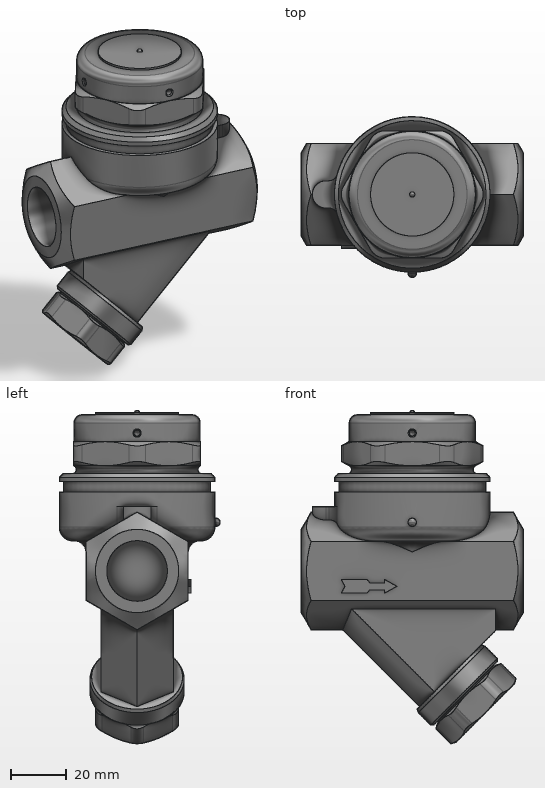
import cadquery as cq
import math


COS_30 = math.cos(math.radians(30))
TAN_30 = math.tan(math.radians(30))

pipe_length = 80.0
pipe_flats = 36.7
pipe_corner_radius = pipe_flats / 2 / COS_30
port_face_radius = 15.0
port_radius = 10.9
port_depth = 13.2

bonnet_radius = 28.02
bonnet_bottom = 10.8
bonnet_fillet = 5.0
neck_fillet = 4.0
neck_radius = pipe_flats / 2
bowl_top = 28.4
groove_radius = 26.5
flange_bottom = 32.2
flange_top = 35.2
flange_chamfer = 1.4
relief_end_radius = 22.8
relief_radius = 22.0
hex_bottom = 37.9
hex_top = 46.5
hex_flats = 45.8
hex_corner_fillet = 6.0
cap_radius = 22.74
cap_top = 56.3
cap_fillet = 3.0
nameplate_radius = 15.0
nameplate_top = 57.0
rivet_radius = 1.0
rivet_top = 57.8

dimple_height = 49.7
dimple_radius = 1.5
dimple_floor_radius = 1.1
dimple_countersink = 0.5
dimple_count = 4
stud_radius = 1.5
stud_height = 17.5
stud_tip = 29.94

ear_radius = 4.9
ear_tip = 36.0
ear_top = 23.2
ear_fillet = 3.0

branch_angle = 45
branch_flats = 26.2
branch_axis_drop = 24.8
branch_end = 18.8
branch_right_wall = 30.0
branch_top = -12.0
branch_corner_radius = branch_flats / 2 / COS_30
plug_flange_radius = 16.98
plug_flange_thickness = 8.3
plug_flange_chamfer = 0.7
plug_shoulder_bevel_width = 0.6
plug_shoulder_bevel_length = 1.2
plug_neck_radius = 14.4
plug_hex_start = 8.9
plug_length = 18.4
plug_hex_flats = 30.0
plug_hex_corner_fillet = 4.5

arrow_height = 1.1
arrow_middle = -5.5
arrow_tail = -25.5
arrow_notch = -24.2
arrow_shoulder = -16.3
arrow_shaft_start = -15.2
arrow_head = -10.0
arrow_tip = -5.5
arrow_half_width = 2.46
arrow_shaft_half_width = 1.26


def chamfered_hexagon(bottom, top, flats, corner_fillet):
    """Hexagonal nut along Z, flats on +-Y, with rounded corners and a 30 degree chamfer at both ends."""
    end_radius = flats / 2
    corner_radius = end_radius / COS_30
    drop = (corner_radius - end_radius) * TAN_30
    prism = (
        cq.Workplane("XY")
        .workplane(offset=bottom)
        .polygon(6, 2 * corner_radius)
        .extrude(top - bottom)
        .edges("|Z")
        .fillet(corner_fillet)
    )
    turned = (
        cq.Workplane("XZ")
        .moveTo(0, bottom)
        .lineTo(end_radius, bottom)
        .lineTo(corner_radius, bottom + drop)
        .lineTo(corner_radius, top - drop)
        .lineTo(end_radius, top)
        .lineTo(0, top)
        .close()
        .revolve(360, (0, 0, 0), (0, 1, 0))
    )
    return prism.intersect(turned)


def make_pipe():
    """Hexagonal pipe section with corners on +-Z and coned ends."""
    half = pipe_length / 2
    cone_length = (pipe_corner_radius - port_face_radius) * TAN_30
    prism = (
        cq.Workplane("YZ")
        .polygon(6, 2 * pipe_corner_radius)
        .extrude(half, both=True)
        .rotate((0, 0, 0), (1, 0, 0), 90)
    )
    turned = (
        cq.Workplane("XY")
        .moveTo(-half, 0)
        .lineTo(-half, port_face_radius)
        .lineTo(-half + cone_length, pipe_corner_radius)
        .lineTo(half - cone_length, pipe_corner_radius)
        .lineTo(half, port_face_radius)
        .lineTo(half, 0)
        .close()
        .revolve(360, (0, 0, 0), (1, 0, 0))
    )
    return prism.intersect(turned)


def make_bonnet():
    """Turned bowl, groove, flange, relief, cap and nameplate, with the wrench hexagon around them."""
    diagonal = math.sqrt(0.5)
    neck_bottom = bonnet_bottom - neck_fillet
    cap_shoulder = cap_top - cap_fillet
    profile = (
        cq.Workplane("XZ")
        .lineTo(neck_radius, 0)
        .lineTo(neck_radius, neck_bottom)
        .threePointArc(
            (neck_radius + neck_fillet * (1 - diagonal), neck_bottom + neck_fillet * diagonal),
            (neck_radius + neck_fillet, bonnet_bottom),
        )
        .lineTo(bonnet_radius - bonnet_fillet, bonnet_bottom)
        .threePointArc(
            (
                bonnet_radius - bonnet_fillet * (1 - diagonal),
                bonnet_bottom + bonnet_fillet * (1 - diagonal),
            ),
            (bonnet_radius, bonnet_bottom + bonnet_fillet),
        )
        .lineTo(bonnet_radius, bowl_top)
        .lineTo(groove_radius, bowl_top)
        .lineTo(groove_radius, flange_bottom)
        .lineTo(bonnet_radius, flange_bottom)
        .lineTo(bonnet_radius, flange_top - flange_chamfer)
        .lineTo(bonnet_radius - flange_chamfer, flange_top)
        .lineTo(relief_end_radius, flange_top)
        .threePointArc(
            (relief_radius, (flange_top + hex_bottom) / 2),
            (relief_end_radius, hex_bottom),
        )
        .lineTo(cap_radius, hex_bottom)
        .lineTo(cap_radius, cap_shoulder)
        .threePointArc(
            (cap_radius - cap_fillet * (1 - diagonal), cap_shoulder + cap_fillet * diagonal),
            (cap_radius - cap_fillet, cap_top),
        )
        .lineTo(nameplate_radius, cap_top)
        .lineTo(nameplate_radius, nameplate_top)
        .lineTo(0, nameplate_top)
        .close()
    )
    turned = profile.revolve(360, (0, 0, 0), (0, 1, 0))
    hexagon = chamfered_hexagon(hex_bottom, hex_top, hex_flats, hex_corner_fillet)
    rivet = cq.Workplane("XY").sphere(rivet_radius).translate((0, 0, rivet_top - rivet_radius))
    return turned.union(hexagon).union(rivet)


def make_dimple(angle):
    """Cutter for one countersunk, round-bottomed dimple in the cap wall."""
    floor_center = cap_radius - dimple_countersink
    cutter = (
        cq.Workplane("XY")
        .moveTo(floor_center - dimple_floor_radius, 0)
        .threePointArc(
            (
                floor_center - dimple_floor_radius * math.sqrt(0.5),
                dimple_floor_radius * math.sqrt(0.5),
            ),
            (floor_center, dimple_floor_radius),
        )
        .lineTo(cap_radius, dimple_radius)
        .lineTo(cap_radius + dimple_radius, dimple_radius)
        .lineTo(cap_radius + dimple_radius, 0)
        .close()
        .revolve(360, (0, 0, 0), (1, 0, 0))
    )
    return cutter.translate((0, 0, dimple_height)).rotate((0, 0, 0), (0, 0, 1), angle)


def make_stud():
    """Round-ended stud on the -Y side of the bowl."""
    dome_center = stud_tip - stud_radius
    shank = cq.Workplane("XZ").circle(stud_radius).extrude(dome_center)
    shank = shank.intersect(
        cq.Workplane("XY").box(bonnet_radius, bonnet_radius, bonnet_radius).translate((0, -bonnet_radius, 0))
    )
    dome = cq.Workplane("XY").sphere(stud_radius).translate((0, -dome_center, 0))
    return shank.union(dome).translate((0, 0, stud_height))


def make_ear():
    """Flat-topped lobe that blends into the bowl with a concave fillet on each side."""
    lobe_center = -(ear_tip - ear_radius)
    fillet_y = ear_radius + ear_fillet
    fillet_reach = bonnet_radius + ear_fillet
    fillet_x = -math.sqrt(fillet_reach**2 - fillet_y**2)
    touch = bonnet_radius / fillet_reach
    touch_x = fillet_x * touch
    touch_y = fillet_y * touch
    mid_angle = (math.atan2(touch_y - fillet_y, touch_x - fillet_x) - math.pi / 2) / 2
    mid_x = fillet_x + ear_fillet * math.cos(mid_angle)
    mid_y = fillet_y + ear_fillet * math.sin(mid_angle)
    return (
        cq.Workplane("XY")
        .moveTo(0, touch_y)
        .lineTo(touch_x, touch_y)
        .threePointArc((mid_x, mid_y), (fillet_x, ear_radius))
        .lineTo(lobe_center, ear_radius)
        .threePointArc((-ear_tip, 0), (lobe_center, -ear_radius))
        .lineTo(fillet_x, -ear_radius)
        .threePointArc((mid_x, -mid_y), (touch_x, -touch_y))
        .lineTo(0, -touch_y)
        .close()
        .extrude(ear_top)
    )


def place_on_branch(shape):
    """Move a shape built along +Z from the origin so that it runs outward from the branch end."""
    reach = branch_end / math.sqrt(2)
    return shape.rotate((0, 0, 0), (0, 1, 0), 180 - branch_angle).translate(
        (reach, 0, -branch_axis_drop - reach)
    )


def make_branch():
    """Slanted branch: a half hexagon on its lower side, widening to a flat-sided web on its upper side."""
    ridge_offset = branch_corner_radius * math.sqrt(2)
    end_offset = branch_end * math.sqrt(2) + branch_axis_drop
    ridge_sum = -branch_axis_drop - ridge_offset
    outline = (
        cq.Workplane("XZ")
        .moveTo(ridge_sum - branch_top, branch_top)
        .lineTo((ridge_sum + end_offset) / 2, (ridge_sum - end_offset) / 2)
        .lineTo(branch_right_wall, branch_right_wall - end_offset)
        .lineTo(branch_right_wall, branch_top)
        .close()
        .extrude(branch_flats / 2, both=True)
    )
    length = 3 * pipe_flats
    half_flat = branch_corner_radius / 2
    section = place_on_branch(
        cq.Workplane("XY")
        .moveTo(-branch_corner_radius, 0)
        .lineTo(-half_flat, branch_flats / 2)
        .lineTo(length, branch_flats / 2)
        .lineTo(length, -branch_flats / 2)
        .lineTo(-half_flat, -branch_flats / 2)
        .close()
        .extrude(length, both=True)
        .rotate((0, 0, 0), (0, 0, 1), 180)
    )
    return outline.intersect(section)


def make_arrow():
    """Raised arrow on the -Y flat of the pipe section, pointing along the flow."""
    arrow = (
        cq.Workplane("XZ")
        .moveTo(arrow_tail, arrow_half_width)
        .lineTo(arrow_shoulder, arrow_half_width)
        .lineTo(arrow_shaft_start, arrow_shaft_half_width)
        .lineTo(arrow_head, arrow_shaft_half_width)
        .lineTo(arrow_head, arrow_half_width)
        .lineTo(arrow_tip, 0)
        .lineTo(arrow_head, -arrow_half_width)
        .lineTo(arrow_head, -arrow_shaft_half_width)
        .lineTo(arrow_shaft_start, -arrow_shaft_half_width)
        .lineTo(arrow_shoulder, -arrow_half_width)
        .lineTo(arrow_tail, -arrow_half_width)
        .lineTo(arrow_notch, 0)
        .close()
        .extrude(pipe_flats / 2 + arrow_height)
    )
    inner_half = cq.Workplane("XY").box(pipe_length, pipe_flats - 1.2, pipe_flats)
    return arrow.translate((0, 0, arrow_middle)).cut(inner_half)


def make_housing():
    """Pipe, bonnet, ear, branch, stud and arrow as one solid, with the ports and dimples cut."""
    housing = make_pipe().union(make_branch()).union(make_ear())
    housing = housing.union(make_bonnet()).union(make_stud()).union(make_arrow())
    for index in range(dimple_count):
        housing = housing.cut(make_dimple(index * 360 / dimple_count))
    for side in (-1, 1):
        port = cq.Workplane("YZ").circle(port_radius).extrude(port_depth)
        start = -pipe_length / 2 if side < 0 else pipe_length / 2 - port_depth
        housing = housing.cut(port.translate((start, 0, 0)))
    return housing


def make_plug():
    """Closing plug: chamfered flange, short neck and wrench hexagon."""
    flange = (
        cq.Workplane("XY")
        .circle(plug_flange_radius)
        .extrude(plug_flange_thickness)
        .faces(">Z")
        .chamfer(plug_flange_chamfer)
        .faces("<Z")
        .chamfer(plug_shoulder_bevel_length, plug_shoulder_bevel_width)
    )
    neck = cq.Workplane("XY").circle(plug_neck_radius).extrude(plug_hex_start + 1.2)
    hexagon = chamfered_hexagon(plug_hex_start, plug_length, plug_hex_flats, plug_hex_corner_fillet)
    return place_on_branch(flange.union(neck).union(hexagon))


housing = make_housing()
plug = make_plug()

result = cq.Compound.makeCompound([housing.val(), plug.val()])